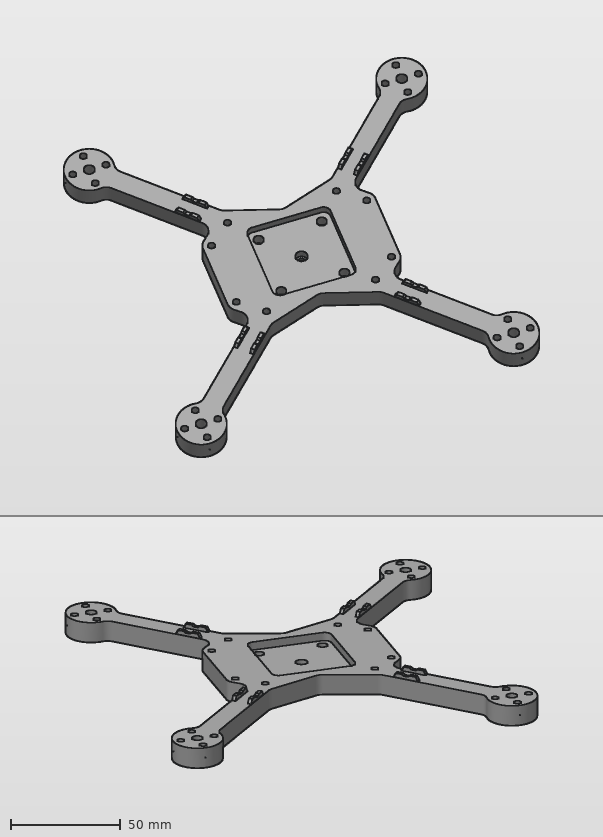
import cadquery as cq
import math

SPAN = 174.5
PLATE_THICKNESS = 10.0
TOTAL_HEIGHT = 12.0
QUADRANTS = [(1, 1), (-1, 1), (-1, -1), (1, -1)]

PAD_RADIUS = 11.7
PAD_CENTRE = SPAN / 2 - PAD_RADIUS
MOTOR_SHAFT_DIAMETER = 5.0
MOTOR_SCREW_DIAMETER = 3.3
MOTOR_SCREW_RADIUS = 8.0
MOTOR_SCREW_DEPTH = 7.0
PINHOLE_DIAMETER = 0.2

ARM_ANGLE = 45
ARM_WIDTH = 10.1
ARM_EDGE_OFFSET = ARM_WIDTH / math.sqrt(2)

PLATE_HALF_LENGTH = 41.7
END_HALF_WIDTH = 18.8
SHOULDER_X = 26.4
HIP_Y = 26.5
WAIST_HALF_WIDTH = 25.0
OUTLINE_FILLET = 5.0

POCKET_SIZE = 40.1
POCKET_DEPTH = 4.0
POCKET_CORNER_RADIUS = 3.3
BOARD_HOLE_DIAMETER = 4.7
BOARD_HOLE_SPACING = 30.5
CENTRE_HOLE_DIAMETER = 3.3
CENTRE_RECESS_DIAMETER = 5.5
CENTRE_RECESS_DEPTH = 4.0
COVER_HOLE_DIAMETER = 3.3
ARM_ROOT_HOLE = 26.4
END_HOLE = (16.8, 37.5)

RAIL_LENGTH = 12.5
RAIL_WIDTH = 1.7
RAIL_INSET = 0.2
RAIL_HEIGHT = TOTAL_HEIGHT - PLATE_THICKNESS
RAIL_END_RUN = 1.2
RAIL_DISTANCE = 55.3
NOTCH_TOP_LENGTH = 4.0
NOTCH_FLOOR_LENGTH = 2.1
NOTCH_DEPTH = 0.7


def cylinder(diameter, x, y, bottom, height):
    return cq.Workplane("XY", origin=(x, y, bottom)).circle(diameter / 2).extrude(height)


def through_holes(diameter, points):
    return cq.Workplane("XY").pushPoints(points).circle(diameter / 2).extrude(PLATE_THICKNESS)


def in_all_quadrants(x, y):
    return [(sx * x, sy * y) for sx, sy in QUADRANTS]


def quarter_outline():
    """Corners of the first quadrant, from the waist round the arm to the plate end."""
    arm_end_far = PAD_CENTRE + ARM_EDGE_OFFSET / 2
    arm_end_near = PAD_CENTRE - ARM_EDGE_OFFSET / 2
    return [
        (WAIST_HALF_WIDTH, 0),
        (HIP_Y + ARM_EDGE_OFFSET, HIP_Y),
        (arm_end_far, arm_end_near),
        (arm_end_near, arm_end_far),
        (SHOULDER_X, SHOULDER_X + ARM_EDGE_OFFSET),
        (END_HALF_WIDTH, PLATE_HALF_LENGTH),
    ]


def frame_outline():
    right = quarter_outline()
    upper = right + [(-x, y) for x, y in reversed(right)]
    lower = [(-x, -y) for x, y in upper[1:-1]]
    body = cq.Workplane("XY").polyline(upper + lower).close().extrude(PLATE_THICKNESS)
    for x, y in in_all_quadrants(PAD_CENTRE, PAD_CENTRE):
        body = body.union(cylinder(2 * PAD_RADIUS, x, y, 0, PLATE_THICKNESS))
    reach = PAD_CENTRE - MOTOR_SHAFT_DIAMETER / 2
    inboard = cq.selectors.BoxSelector((-reach, -reach, 0), (reach, reach, TOTAL_HEIGHT))
    return body.edges("|Z").edges(inboard).fillet(OUTLINE_FILLET)


def motor_holes():
    """Shaft hole, four blind screw holes and two pinholes of the first-quadrant pad."""
    centre = PAD_CENTRE
    cuts = cylinder(MOTOR_SHAFT_DIAMETER, centre, centre, 0, PLATE_THICKNESS)
    bottom = PLATE_THICKNESS - MOTOR_SCREW_DEPTH
    for dx, dy in [(1, 0), (0, 1), (-1, 0), (0, -1)]:
        x = centre + dx * MOTOR_SCREW_RADIUS
        y = centre + dy * MOTOR_SCREW_RADIUS
        cuts = cuts.union(cylinder(MOTOR_SCREW_DIAMETER, x, y, bottom, MOTOR_SCREW_DEPTH))
    pinhole_length = PAD_RADIUS - MOTOR_SCREW_RADIUS
    pinhole = cylinder(PINHOLE_DIAMETER, 0, 0, 0, pinhole_length)
    start = centre + MOTOR_SCREW_RADIUS
    middle = PLATE_THICKNESS / 2
    cuts = cuts.union(pinhole.rotate((0, 0, 0), (0, 1, 0), 90).translate((start, centre, middle)))
    return cuts.union(pinhole.rotate((0, 0, 0), (1, 0, 0), -90).translate((centre, start, middle)))


def arm_rails():
    """Pair of notched rails with sloping ends on the first-quadrant arm."""
    half = RAIL_LENGTH / 2
    top = RAIL_HEIGHT
    profile = [
        (-half, 0),
        (-half + RAIL_END_RUN, top),
        (-NOTCH_TOP_LENGTH / 2, top),
        (-NOTCH_FLOOR_LENGTH / 2, top - NOTCH_DEPTH),
        (NOTCH_FLOOR_LENGTH / 2, top - NOTCH_DEPTH),
        (NOTCH_TOP_LENGTH / 2, top),
        (half - RAIL_END_RUN, top),
        (half, 0),
    ]
    rail = cq.Workplane("XZ").polyline(profile).close().extrude(RAIL_WIDTH)
    rail = rail.translate((RAIL_DISTANCE, ARM_WIDTH / 2 - RAIL_INSET, PLATE_THICKNESS))
    pair = rail.union(rail.mirror("XZ"))
    return pair.rotate((0, 0, 0), (0, 0, 1), ARM_ANGLE)


def mirrored(shape, sx, sy):
    if sx < 0:
        shape = shape.mirror("YZ")
    if sy < 0:
        shape = shape.mirror("XZ")
    return shape


def pocket():
    floor = PLATE_THICKNESS - POCKET_DEPTH
    recess = cq.Workplane("XY", origin=(0, 0, floor)).rect(POCKET_SIZE, POCKET_SIZE).extrude(POCKET_DEPTH)
    recess = recess.edges("|Z").fillet(POCKET_CORNER_RADIUS)
    centre_recess = cylinder(CENTRE_RECESS_DIAMETER, 0, 0, floor - CENTRE_RECESS_DEPTH, CENTRE_RECESS_DEPTH)
    return recess.union(centre_recess)


result = frame_outline()
for sx, sy in QUADRANTS:
    result = result.union(mirrored(arm_rails(), sx, sy))
    result = result.cut(mirrored(motor_holes(), sx, sy))

result = result.cut(pocket())
result = result.cut(through_holes(CENTRE_HOLE_DIAMETER, [(0, 0)]))
board_hole = BOARD_HOLE_SPACING / 2
result = result.cut(through_holes(BOARD_HOLE_DIAMETER, in_all_quadrants(board_hole, board_hole)))
result = result.cut(through_holes(COVER_HOLE_DIAMETER, in_all_quadrants(ARM_ROOT_HOLE, ARM_ROOT_HOLE)))
result = result.cut(through_holes(COVER_HOLE_DIAMETER, in_all_quadrants(*END_HOLE)))